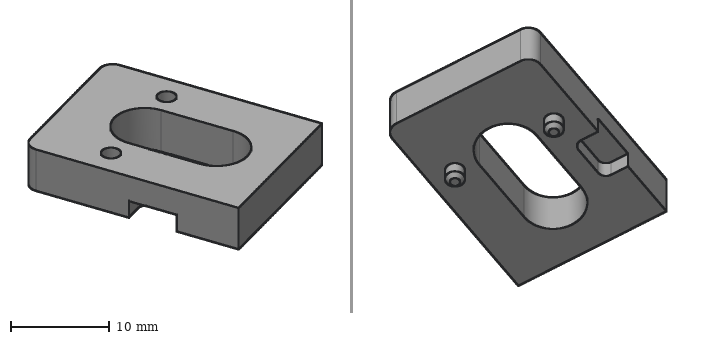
import cadquery as cq

plate_length = 24.8
plate_width = 18.0
plate_height = 5.0
corner_radius = 1.5

slot_length = 15.3
slot_width = 7.0
slot_center_x = 13.35

pin_x = 8.5
pin_spacing = 12.0
pin_diameter = 2.03
overall_height = 6.8
pin_length = overall_height - plate_height
pin_chamfer = 0.5
socket_diameter = pin_diameter
socket_depth = 2.0

notch_center_x = 14.9
notch_width = 5.5
notch_height = 2.0
notch_depth = 3.0
notch_corner_radius = 0.97

pin_centers = [(pin_x, -pin_spacing / 2), (pin_x, pin_spacing / 2)]


def make_plate():
    plate = cq.Workplane("XY").box(
        plate_length, plate_width, plate_height, centered=(False, True, False)
    )
    return plate.edges("|Z and <X").fillet(corner_radius)


def make_slot():
    return (
        cq.Workplane("XY")
        .center(slot_center_x, 0)
        .slot2D(slot_length, slot_width)
        .extrude(plate_height)
    )


def make_notch():
    notch = (
        cq.Workplane("XY")
        .center(notch_center_x, -plate_width / 2 + notch_depth / 2)
        .rect(notch_width, notch_depth)
        .extrude(notch_height)
    )
    return notch.edges("|Z and >Y").fillet(notch_corner_radius)


def make_sockets():
    return (
        cq.Workplane("XY", origin=(0, 0, plate_height))
        .pushPoints(pin_centers)
        .circle(socket_diameter / 2)
        .extrude(-socket_depth)
    )


def make_pins():
    pins = (
        cq.Workplane("XY")
        .pushPoints(pin_centers)
        .circle(pin_diameter / 2)
        .extrude(-pin_length)
    )
    return pins.faces("<Z").edges().chamfer(pin_chamfer)


result = make_plate().cut(make_slot()).cut(make_notch()).cut(make_sockets()).union(make_pins())